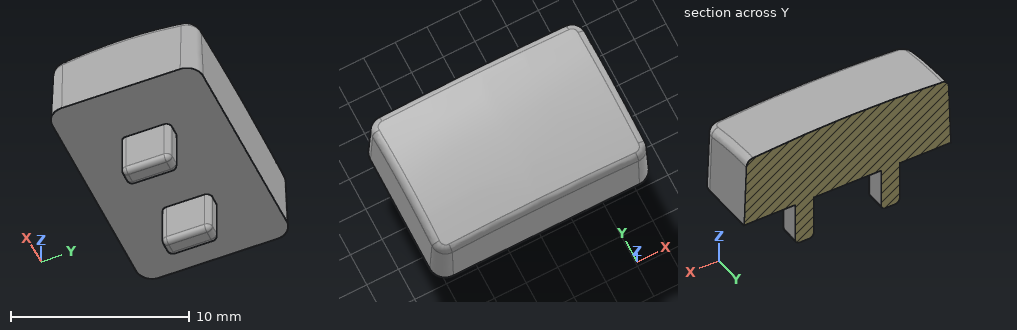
import cadquery as cq
import math

length = 13.73
width = 9.23
corner_radius = 0.99
draft_angle = 2.0

crown_height = 4.95
crown_radius_along = 74.83
crown_radius_across = 20.05
top_fillet = 0.5

peg_thickness = 1.26
peg_width = 3.02
peg_length = 2.85
peg_spacing = 5.68
peg_fillet = 0.35

overshoot = 0.69


def drafted_block():
    """Cap walls, leaning inward from the base and taller than the crown."""
    base_outline = cq.Sketch().rect(length, width).vertices().fillet(corner_radius)
    return cq.Workplane("XY").placeSketch(base_outline).extrude(crown_height + overshoot, taper=draft_angle)


def crown_envelope():
    """Everything under the crown: the cross arc revolved about a far-below Y axis."""
    half_width = width / 2 + overshoot
    edge_drop = crown_radius_across - math.sqrt(crown_radius_across**2 - half_width**2)
    edge_height = crown_height - edge_drop
    swing_angle = 2 * math.degrees(math.asin((length / 2 + overshoot) / crown_radius_along))
    axis_height = crown_height - crown_radius_along
    profile = (
        cq.Workplane("YZ")
        .moveTo(-half_width, -overshoot)
        .lineTo(-half_width, edge_height)
        .threePointArc((0, crown_height), (half_width, edge_height))
        .lineTo(half_width, -overshoot)
        .close()
    )
    crown_sweep = profile.revolve(swing_angle, (0, axis_height), (1, axis_height))
    return crown_sweep.rotate((0, 0, axis_height), (0, 1, axis_height), -swing_angle / 2)


def cap():
    """Drafted block trimmed to the crown, with its top rim rounded."""
    trimmed = drafted_block().intersect(crown_envelope())
    return trimmed.faces(">Z").edges().fillet(top_fillet)


def peg(x_position):
    """Round-edged peg hanging from the underside of the cap."""
    return (
        cq.Workplane("XY")
        .center(x_position, 0)
        .rect(peg_thickness, peg_width)
        .extrude(-peg_length)
        .edges("|Z")
        .fillet(peg_fillet)
        .faces("<Z")
        .edges()
        .fillet(peg_fillet)
    )


result = cap()
for side in (-1, 1):
    result = result.union(peg(side * peg_spacing / 2))